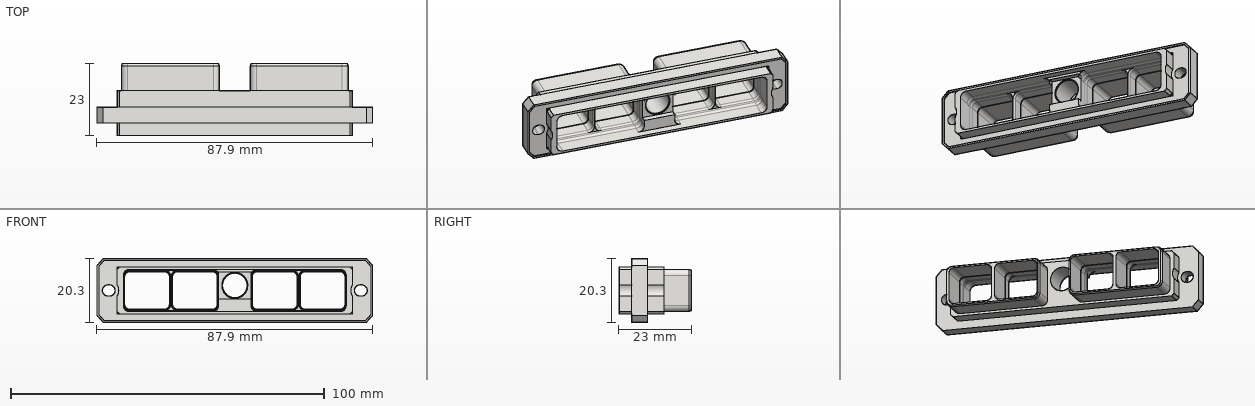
import cadquery as cq
import math

flange_length = 87.93
flange_height = 20.33
flange_thickness = 5.1
flange_corner_x = 2.0
flange_corner_z = 2.2
rim_width = 0.6
rim_depth = 0.5

body_length = 75.0
body_height = 15.05
body_front = 0.0
flange_front = 3.95
body_rear = 14.3
body_corner = 0.8

fixing_x = 40.2
fixing_slot_length = 4.0
fixing_slot_height = 3.5
clearance_radius = 3.2

block_inner_x = 4.9
block_outer_x = 36.2
block_height = 13.5
block_corner_radius = 1.95
block_rear = 23.03
block_edge_length = 0.8
block_edge_inset = 0.3

taper_slope = math.tan(math.radians(15))
cavity_outer_x = 35.55
cavity_height = 13.5
cavity_corner_radius = 2.0
pocket_inner_x = 5.15
bridge_front = 2.4
taper_start = 4.75
taper_end = 6.0
pocket_end = 6.9
pocket_height = cavity_height - 2 * taper_slope * (taper_end - taper_start)

lead_in_end = 7.9
lead_in = taper_slope * (lead_in_end - pocket_end)
cell_height = pocket_height - 2 * lead_in
cell_corner_radius = cavity_corner_radius - lead_in
web_thickness = 0.7
cell_inner_x = pocket_inner_x + lead_in
cell_outer_x = cavity_outer_x - lead_in
cell_width = (cell_outer_x - cell_inner_x - web_thickness) / 2
stop_depth = 11.9
stop_width = 0.18

recess_floor = 4.2
recess_bottom = -2.75
recess_top = 5.95
guide_radius = 3.9
guide_chamfer = 0.25


def rounded_bar(x_min, x_max, height, radius, y_min, y_max):
    """Bar running along Y with rounded edges, centred on Z = 0."""
    bar = cq.Workplane("XY").box(x_max - x_min, y_max - y_min, height)
    bar = bar.edges("|Y").fillet(radius)
    return bar.translate(((x_min + x_max) / 2, (y_min + y_max) / 2, 0))


def rounded_section(section):
    """Sketch of a rounded rectangle given as (x_min, x_max, height, radius)."""
    x_min, x_max, height, radius = section
    outline = cq.Sketch().rect(x_max - x_min, height).vertices().fillet(radius)
    return outline.moved(cq.Location(cq.Vector((x_min + x_max) / 2, 0, 0)))


def tapered_bar(front, rear, y_min, y_max):
    """Loft along Y between two rounded rectangles, each (x_min, x_max, height, radius)."""
    sections = cq.Workplane("XZ", origin=(0, y_min, 0)).placeSketch(
        rounded_section(front),
        rounded_section(rear).moved(cq.Location(cq.Vector(0, 0, y_min - y_max))),
    )
    return sections.loft()


def cropped_outline(length, height, corner_x, corner_z, y):
    """Rectangle across the part at depth y, with its four corners cut off."""
    x = length / 2
    z = height / 2
    points = [
        (x, z - corner_z),
        (x - corner_x, z),
        (corner_x - x, z),
        (-x, z - corner_z),
        (-x, corner_z - z),
        (corner_x - x, -z),
        (x - corner_x, -z),
        (x, corner_z - z),
    ]
    return cq.Workplane("XZ", origin=(0, y, 0)).polyline(points).close()


def flange_outline():
    return cropped_outline(flange_length, flange_height, flange_corner_x, flange_corner_z, flange_front)


def make_flange():
    """Flange plate whose front face is sunk inside a narrow rim."""
    plate = flange_outline().extrude(-flange_thickness)
    recess = flange_outline().offset2D(-rim_width).extrude(-rim_depth)
    return plate.cut(recess)


def make_body():
    outline = cropped_outline(body_length, body_height, body_corner, body_corner, body_front)
    body = outline.extrude(body_front - body_rear)
    base = cq.Workplane("XY").box(body_length, rim_depth, body_height)
    body = body.union(base.translate((0, flange_front + rim_depth / 2, 0)))
    grooves = (
        cq.Workplane("XZ", origin=(0, body_front, 0))
        .pushPoints([(-fixing_x, 0), (fixing_x, 0)])
        .circle(clearance_radius)
        .extrude(body_front - body_rear)
    )
    return body.cut(grooves)


def make_block():
    block = rounded_bar(
        block_inner_x, block_outer_x, block_height, block_corner_radius, body_rear, block_rear
    )
    return block.faces(">Y").chamfer(block_edge_inset, block_edge_length)


def make_cavity():
    return rounded_bar(
        -cavity_outer_x, cavity_outer_x, cavity_height, cavity_corner_radius, body_front, bridge_front
    )


def make_pocket():
    full = (pocket_inner_x, cavity_outer_x, cavity_height, cavity_corner_radius)
    reduced = (pocket_inner_x, cavity_outer_x, pocket_height, cavity_corner_radius)
    pocket = rounded_bar(*full, body_front, taper_start)
    pocket = pocket.union(tapered_bar(full, reduced, taper_start, taper_end))
    return pocket.union(rounded_bar(*reduced, taper_end, pocket_end))


def make_cell(x_min, x_max):
    mouth = (x_min - lead_in, x_max + lead_in, pocket_height, cavity_corner_radius)
    bore = (x_min, x_max, cell_height, cell_corner_radius)
    narrowed = (
        x_min + stop_width,
        x_max - stop_width,
        cell_height - 2 * stop_width,
        cell_corner_radius - stop_width,
    )
    cell = tapered_bar(mouth, bore, pocket_end, lead_in_end)
    cell = cell.union(rounded_bar(*bore, lead_in_end, stop_depth))
    return cell.union(rounded_bar(*narrowed, stop_depth, block_rear))


def make_guide_recess():
    """Recess in the bridge with the chamfered guide hole in its floor."""
    height = recess_top - recess_bottom
    middle = (recess_top + recess_bottom) / 2
    recess = cq.Workplane("XY").box(2 * pocket_inner_x, recess_floor, height)
    recess = recess.translate((0, recess_floor / 2, middle))
    hole = (
        cq.Workplane("XZ", origin=(0, recess_floor, middle))
        .circle(guide_radius)
        .extrude(recess_floor - body_rear)
    )
    mouth = cq.Solid.makeCone(
        guide_radius + guide_chamfer,
        guide_radius,
        guide_chamfer,
        cq.Vector(0, recess_floor, middle),
        cq.Vector(0, 1, 0),
    )
    return recess.union(hole).union(cq.Workplane(mouth))


def make_fixing_holes():
    return (
        cq.Workplane("XZ", origin=(0, flange_front, 0))
        .pushPoints([(-fixing_x, 0), (fixing_x, 0)])
        .slot2D(fixing_slot_length, fixing_slot_height)
        .extrude(-flange_thickness)
    )


def both_sides(shape):
    return shape.union(shape.mirror("YZ"))


result = make_flange().union(make_body()).union(both_sides(make_block()))
result = result.cut(make_cavity())
result = result.cut(both_sides(make_pocket()))
for start in (cell_inner_x, cell_outer_x - cell_width):
    result = result.cut(both_sides(make_cell(start, start + cell_width)))
result = result.cut(make_guide_recess()).cut(make_fixing_holes())